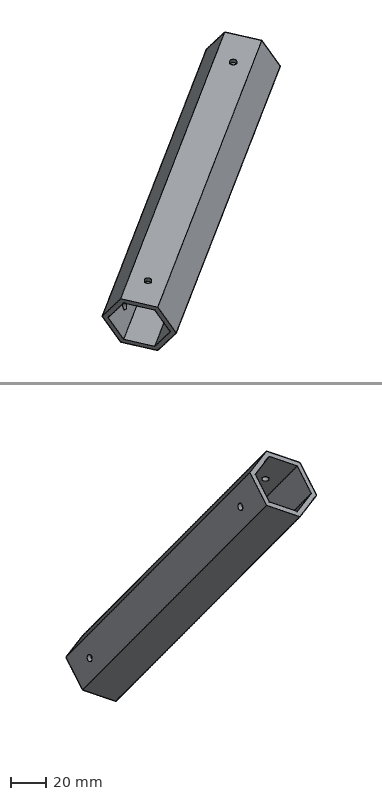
import cadquery as cq
import math

length = 208.0
across_corners = 44.0
wall = 3.1
across_flats = across_corners * math.cos(math.pi / 6)
bore_across_corners = (across_flats - 2 * wall) / math.cos(math.pi / 6)

hole_diameter = 4.2
front_hole_distance = 17.5
back_hole_distance = 20.2
hole_places = (-length / 2 + front_hole_distance, length / 2 - back_hole_distance)
hole_angles = (0, 120, 240)


def hexagonal_bar(corner_diameter):
    profile = cq.Workplane("XZ").polygon(6, corner_diameter)
    return profile.extrude(length / 2, both=True)


def wall_hole(y, angle):
    """Cutter from the tube axis out through one flat."""
    cutter = cq.Workplane("XY").center(0, y).circle(hole_diameter / 2).extrude(across_flats)
    return cutter.rotate((0, 0, 0), (0, 1, 0), angle)


result = hexagonal_bar(across_corners).cut(hexagonal_bar(bore_across_corners))
for y in hole_places:
    for angle in hole_angles:
        result = result.cut(wall_hole(y, angle))